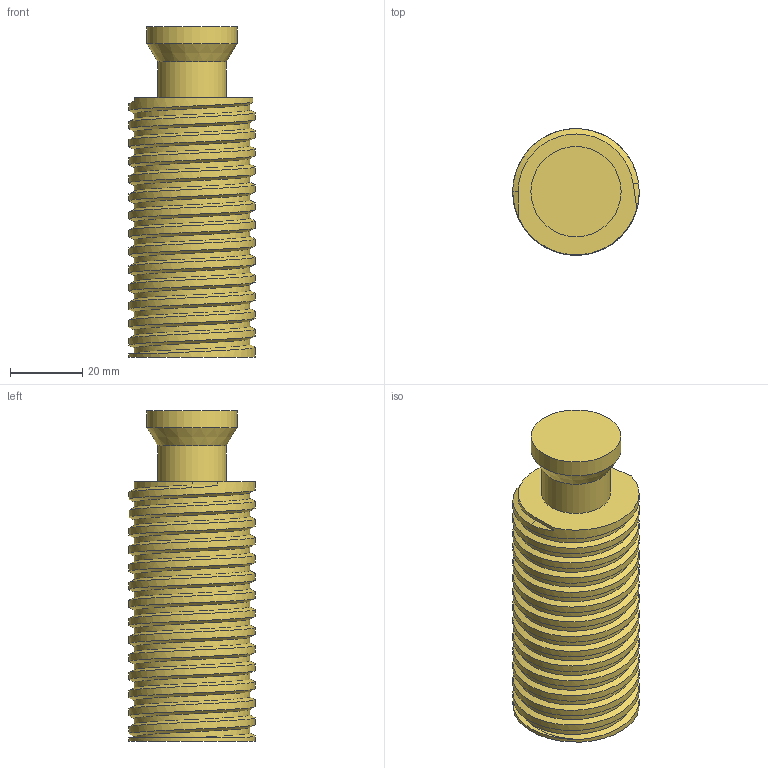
import cadquery as cq

TOTAL_HEIGHT = 91.52

HEAD_RADIUS = 12.5
HEAD_HEIGHT = 4.7
FLARE_HEIGHT = 5.0
NECK_RADIUS = 9.5
NECK_HEIGHT = 9.9
BODY_HEIGHT = TOTAL_HEIGHT - HEAD_HEIGHT - FLARE_HEIGHT - NECK_HEIGHT

CREST_RADIUS = 17.5
ROOT_RADIUS = 16.0
PITCH = 5.0
FLOOR_WIDTH = 1.6
MOUTH_WIDTH = 3.1
GROOVE_END_ANGLE = 180
GROOVE_END_DEPTH = 0.15
FULL_TURNS = 13
CUTTER_CLEARANCE = 0.5

RIM_HEIGHT = 0.9

RUNOUT_START_ANGLE = 8
RUNOUT_OPENING = 3.0
TANGENT_LENGTH = 10.0


def make_blank():
    """Revolved blank that stands on the rim, without the rim itself."""
    neck_top = BODY_HEIGHT + NECK_HEIGHT
    outline = [
        (0, RIM_HEIGHT),
        (CREST_RADIUS, RIM_HEIGHT),
        (CREST_RADIUS, BODY_HEIGHT),
        (NECK_RADIUS, BODY_HEIGHT),
        (NECK_RADIUS, neck_top),
        (HEAD_RADIUS, neck_top + FLARE_HEIGHT),
        (HEAD_RADIUS, TOTAL_HEIGHT),
        (0, TOTAL_HEIGHT),
    ]
    return cq.Workplane("XZ").polyline(outline).close().revolve(360, (0, 0), (0, 1))


def groove_profile(opening):
    """Groove section in the XZ plane; `opening` raises the upper flank."""
    outer_radius = CREST_RADIUS + CUTTER_CLEARANCE
    flank_slope = (MOUTH_WIDTH - FLOOR_WIDTH) / 2 / (CREST_RADIUS - ROOT_RADIUS)
    half_floor = FLOOR_WIDTH / 2
    half_outer = half_floor + flank_slope * (outer_radius - ROOT_RADIUS)
    corners = [
        (ROOT_RADIUS, -half_floor),
        (outer_radius, -half_outer),
        (outer_radius, half_outer + opening),
        (ROOT_RADIUS, half_floor + opening),
    ]
    return cq.Workplane("XZ").polyline(corners).close()


def helical_cutter(turns, opening=0.0):
    helix = cq.Wire.makeHelix(PITCH, turns * PITCH, ROOT_RADIUS)
    return groove_profile(opening).sweep(cq.Workplane(helix), isFrenet=True)


def tangent_cutter(length, opening):
    """Straight continuation of the groove; a positive length runs counterclockwise."""
    return groove_profile(opening).extrude(-length)


def place_on_helix(cutter, angle):
    """Moves a cutter that starts at angle 0 to the given angle along the thread helix."""
    drop = PITCH * (GROOVE_END_ANGLE - angle) / 360
    height = BODY_HEIGHT - GROOVE_END_DEPTH - drop
    return cutter.rotate((0, 0, 0), (0, 0, 1), angle).translate((0, 0, height))


def cut_thread(body):
    """Cuts the turns below the run-out, from the top turn to the one that meets the rim."""
    single_turn = helical_cutter(1)
    top_start = RUNOUT_START_ANGLE - 360
    full_start = top_start - 360 * FULL_TURNS
    bottom_start = full_start - 360
    body = body.cut(place_on_helix(single_turn, top_start))
    body = body.cut(place_on_helix(helical_cutter(FULL_TURNS), full_start))
    return body.cut(place_on_helix(single_turn, bottom_start))


def cut_runout(body):
    """Opens the end of the groove to the top face and runs both its ends out tangentially."""
    runout_turns = (GROOVE_END_ANGLE - RUNOUT_START_ANGLE) / 360
    arc = helical_cutter(runout_turns, RUNOUT_OPENING)
    backward = tangent_cutter(-TANGENT_LENGTH, RUNOUT_OPENING)
    forward = tangent_cutter(TANGENT_LENGTH, RUNOUT_OPENING)
    body = body.cut(place_on_helix(arc, RUNOUT_START_ANGLE))
    body = body.cut(place_on_helix(backward, RUNOUT_START_ANGLE))
    return body.cut(place_on_helix(forward, GROOVE_END_ANGLE))


def add_rim(body):
    rim = cq.Workplane("XY").circle(CREST_RADIUS).extrude(RIM_HEIGHT)
    return body.union(rim)


result = add_rim(cut_runout(cut_thread(make_blank())))